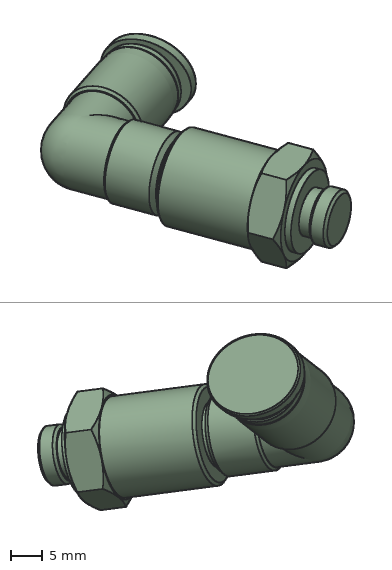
import cadquery as cq
import math


ELBOW_DIAMETER = 13.0
SLEEVE_DIAMETER = 14.4
SLEEVE_START = 7.7
SLEEVE_CHAMFER = 0.5
TAPER_START = 18.85
TAPER_END = 21.0
TAPER_END_DIAMETER = 14.15
COLLAR_DIAMETER = 14.0
COLLAR_START = 7.2
COLLAR_END = 16.25
COLLAR_START_CHAMFER = 0.45
COLLAR_END_CHAMFER = 0.8
STEM_DIAMETER = 10.6

GUIDE_DIAMETER = 13.9
GUIDE_END = 22.55
GUIDE_CHAMFER = 0.25

BUTTON_NECK_DIAMETER = 9.7
BUTTON_FLANGE_START = 23.6
BUTTON_FLANGE_END = 25.7
BUTTON_FLANGE_LENGTH = 16.15
BUTTON_FLANGE_WIDTH = 13.8
BUTTON_CHAMFER = 0.25

HOUSING_DIAMETER = 16.5
HOUSING_START = 17.2
HOUSING_CHAMFER = 0.5
HEX_ACROSS_FLATS = 17.0
HEX_START = 33.75
HEX_WIDTH = 5.95
HEX_CHAMFER_ANGLE = 30.0
SEAT_DIAMETER = 14.0
SEAT_WIDTH = 1.1
STUD_NECK_DIAMETER = 8.1
STUD_NECK_LENGTH = 2.0
STUD_DIAMETER = 9.75
STUD_CHAMFER = 0.5
TOTAL_LENGTH = 54.05


def cylinder_x(diameter, start, end):
    return cq.Workplane("YZ", origin=(start, 0, 0)).circle(diameter / 2).extrude(end - start)


def cylinder_y(diameter, start, end):
    return cq.Workplane("XZ", origin=(0, start, 0)).circle(diameter / 2).extrude(start - end)


def mitred_leg(leg, keep_x_side):
    """Trim a leg along the diagonal plane where the two legs of the elbow meet."""
    reach = TOTAL_LENGTH
    side = 1 if keep_x_side else -1
    half_space = (
        cq.Workplane("XY", origin=(0, 0, -reach))
        .polyline([(-reach, -reach), (reach, reach), (side * reach, -side * reach)])
        .close()
        .extrude(2 * reach)
    )
    return leg.intersect(half_space)


def make_elbow():
    bend = cq.Workplane("XY").sphere(ELBOW_DIAMETER / 2)
    swivel_leg = mitred_leg(cylinder_x(ELBOW_DIAMETER, 0, COLLAR_START), True)
    port_leg = mitred_leg(cylinder_y(ELBOW_DIAMETER, 0, SLEEVE_START), False)
    collar = (
        cylinder_x(COLLAR_DIAMETER, COLLAR_START, COLLAR_END)
        .faces("<X").chamfer(COLLAR_START_CHAMFER)
        .faces(">X").chamfer(COLLAR_END_CHAMFER)
    )
    stem = cylinder_x(STEM_DIAMETER, COLLAR_END, HOUSING_START)
    sleeve = cylinder_y(SLEEVE_DIAMETER, SLEEVE_START, TAPER_START).faces("<Y").chamfer(SLEEVE_CHAMFER)
    taper = (
        cq.Workplane("XZ", origin=(0, TAPER_START, 0))
        .circle(SLEEVE_DIAMETER / 2)
        .workplane(offset=TAPER_START - TAPER_END)
        .circle(TAPER_END_DIAMETER / 2)
        .loft()
    )
    return bend.union(swivel_leg).union(port_leg).union(collar).union(stem).union(sleeve).union(taper)


def make_guide_ring():
    ring = cylinder_y(GUIDE_DIAMETER, TAPER_END, GUIDE_END).faces(">Y").chamfer(GUIDE_CHAMFER)
    return ring.cut(cylinder_y(BUTTON_NECK_DIAMETER, TAPER_END, GUIDE_END))


def make_release_button():
    neck = cylinder_y(BUTTON_NECK_DIAMETER, TAPER_END, BUTTON_FLANGE_START)
    flange = (
        cq.Workplane("XZ", origin=(0, BUTTON_FLANGE_START, 0))
        .ellipse(BUTTON_FLANGE_LENGTH / 2, BUTTON_FLANGE_WIDTH / 2)
        .extrude(BUTTON_FLANGE_START - BUTTON_FLANGE_END)
        .faces(">Y").chamfer(BUTTON_CHAMFER)
    )
    return neck.union(flange)


def make_hexagon():
    """Hexagon with corners on +Y and -Y, and both ends coned down to the flats."""
    flat_radius = HEX_ACROSS_FLATS / 2
    corner_radius = flat_radius / math.cos(math.pi / 6)
    cone_length = (corner_radius - flat_radius) * math.tan(math.radians(HEX_CHAMFER_ANGLE))
    hex_end = HEX_START + HEX_WIDTH
    prism = cq.Workplane("YZ", origin=(HEX_START, 0, 0)).polygon(6, 2 * corner_radius).extrude(HEX_WIDTH)
    coned_blank = (
        cq.Workplane("XY")
        .polyline([
            (HEX_START, 0),
            (HEX_START, flat_radius),
            (HEX_START + cone_length, corner_radius),
            (hex_end - cone_length, corner_radius),
            (hex_end, flat_radius),
            (hex_end, 0),
        ])
        .close()
        .revolve(360, (0, 0, 0), (1, 0, 0))
    )
    return prism.intersect(coned_blank)


def make_housing():
    seat_start = HEX_START + HEX_WIDTH
    neck_start = seat_start + SEAT_WIDTH
    stud_start = neck_start + STUD_NECK_LENGTH
    stud_end = TOTAL_LENGTH - BUTTON_FLANGE_LENGTH / 2
    barrel = cylinder_x(HOUSING_DIAMETER, HOUSING_START, HEX_START).faces("<X").chamfer(HOUSING_CHAMFER)
    seat = cylinder_x(SEAT_DIAMETER, seat_start, neck_start)
    neck = cylinder_x(STUD_NECK_DIAMETER, neck_start, stud_start)
    stud = cylinder_x(STUD_DIAMETER, stud_start, stud_end).faces("<X or >X").chamfer(STUD_CHAMFER)
    return barrel.union(make_hexagon()).union(seat).union(neck).union(stud)


elbow = make_elbow()
guide_ring = make_guide_ring()
release_button = make_release_button()
housing = make_housing()

result = cq.Compound.makeCompound([elbow.val(), guide_ring.val(), release_button.val(), housing.val()])